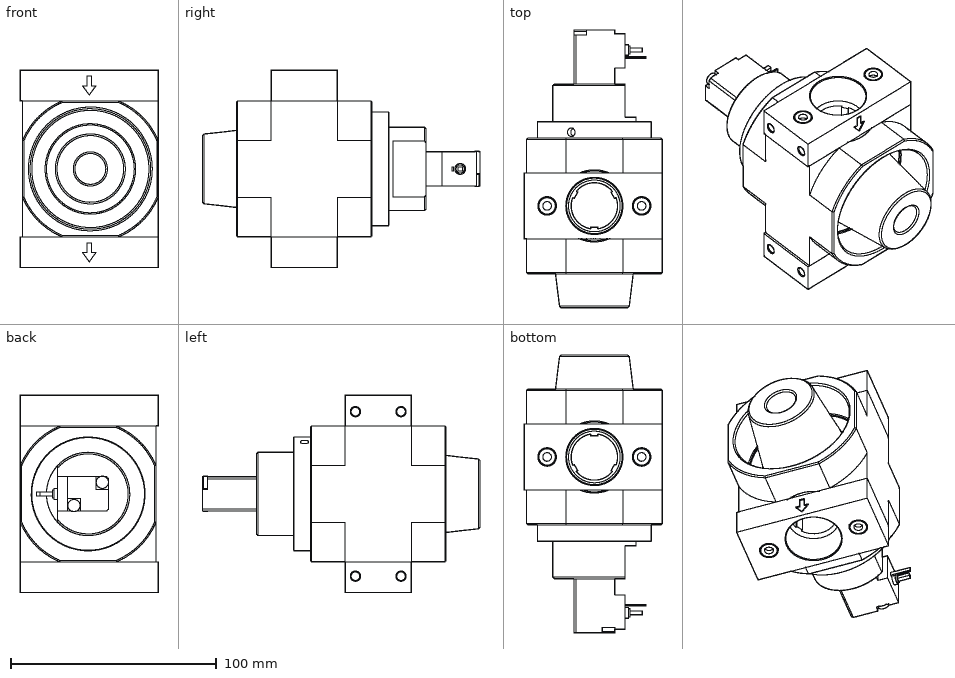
import cadquery as cq
import math


HOUSING_SIZE = 66.0
HOUSING_HALF = HOUSING_SIZE / 2
ROUND_END_DIAMETER = 71.5
END_CHAMFER = 0.7

PLATE_WIDTH = 32.1
PLATE_THICKNESS = 15.0
PLATE_OVERHANG = 1.1
PLATE_LENGTH = HOUSING_SIZE + PLATE_OVERHANG
PLATE_CENTER_X = -PLATE_OVERHANG / 2
PLATE_TOP = HOUSING_HALF + PLATE_THICKNESS

PORT_TOP_DIAMETER = 27.0
PORT_FOOT_DIAMETER = 25.1
PORT_CHAMFER = 0.4
BORE_DIAMETER = 22.4
RIB_ANGLES = (30, 150, 270)
RIB_WIDTH = 3.5
RIB_TIP_RADIUS = 10.3
SEAL_DIAMETER = 34.0
SEAL_DEPTH = 2.0
SEAL_CHAMFER = 0.5

SIDE_HOLE_DIAMETER = 4.2
SIDE_HOLE_MOUTH = 5.0
SIDE_HOLE_DEPTH = 8.1
SIDE_HOLE_Y = 11.1
SIDE_HOLE_Z = 40.0
DRILL_POINT_ANGLE = 118

ARROW_LENGTH = 9.2
ARROW_HEAD_LENGTH = 4.5
ARROW_HEAD_WIDTH = 6.5
ARROW_STEM_WIDTH = 2.3
ARROW_DEPTH = 0.5

SCREW_X = 23.0
SCREW_DIAMETER = 5.0
SCREW_HEAD_DIAMETER = 8.5
SCREW_HEAD_HEIGHT = 5.0
SCREW_HEAD_CHAMFER = 0.3
SCREW_SINK_DIAMETER = 9.0
SCREW_LENGTH_IN_HOUSING = 9.5
SOCKET_DIAMETER = 4.2
SOCKET_DEPTH = 2.4

RECESS_DIAMETER = 58.6
RECESS_FLOOR_DIAMETER = 57.0
RECESS_STEP = 0.8
RECESS_CHAMFER = 0.8
RECESS_DEPTH = 20.5
RECESS_FLOOR_Y = RECESS_DEPTH - HOUSING_HALF
CONE_FRONT_Y = -49.5
CONE_TIP_DIAMETER = 34.0
CONE_TIP_CHAMFER = 0.8
CONE_BASE_DIAMETER = 42.7
CONE_FLANGE_DIAMETER = 44.0
CONE_HOLE_DIAMETER = 15.0
CONE_HOLE_DEPTH = 20.2
CONE_HOLE_CHAMFER = 0.8

DISC_DIAMETER = 55.4
DISC_THICKNESS = 8.1
DISC_CHAMFER = 0.3
DISC_HOLE_DIAMETER = 4.0
DISC_HOLE_DEPTH = 4.0
DISC_HOLE_Y = 35.8
DISC_HOLE_ANGLE = 24
DISC_BACK_Y = HOUSING_HALF + DISC_THICKNESS

COIL_DIAMETER = 40.5
COIL_LENGTH = 18.1
COIL_CHAMFER = 0.8
COIL_RIM_THICKNESS = 2.0
COIL_FLAT_X = 15.0
COIL_BACK_Y = DISC_BACK_Y + COIL_LENGTH

BOX_BACK_Y = 85.5
BOX_WIDTH = 20.0
BOX_HEIGHT = 16.7
BOX_EDGE_CHAMFER = 1.1
SOCKET_FRONT_Y = 67.0
SOCKET_BACK_Y = 83.7
COVER_SCREW_DIAMETER = 6.0
COVER_SCREW_HEIGHT = 1.9
COVER_SCREW_SINK = 0.7
COVER_SCREW_RISE = 0.3
COVER_NOTCH_SIZE = 6.2

CONTACT_Y = 75.7
CONTACT_RINGS = ((5.3, 1.6), (4.0, 2.4))
CONTACT_PIN_WIDTH = 2.0
CONTACT_PIN_LENGTH = 8.4
BLADE_Y = 72.1
BLADE_THICKNESS = 0.8
BLADE_WIDTH = 2.0
BLADE_LENGTH = 10.0


def box_between(x0, x1, y0, y1, z0, z1):
    """Box given by its limits along each axis."""
    return cq.Workplane("XY").box(x1 - x0, y1 - y0, z1 - z0, centered=False).translate((x0, y0, z0))


def cylinder(diameter, length, start, direction):
    """Cylinder that grows from a start point along a direction."""
    return cq.Workplane(cq.Solid.makeCylinder(diameter / 2, length, cq.Vector(*start), cq.Vector(*direction)))


def cone(start_diameter, end_diameter, length, start, direction):
    """Truncated or pointed cone that grows from a start point along a direction."""
    return cq.Workplane(
        cq.Solid.makeCone(start_diameter / 2, end_diameter / 2, length, cq.Vector(*start), cq.Vector(*direction))
    )


def drilled_hole(diameter, depth, start, direction):
    """Blind hole with a conical drill point."""
    point_length = diameter / 2 / math.tan(math.radians(DRILL_POINT_ANGLE / 2))
    point_start = [s + depth * d for s, d in zip(start, direction)]
    point = cone(diameter, 0, point_length, point_start, direction)
    return cylinder(diameter, depth, start, direction).union(point)


def mirrored_pair(upper_shape):
    """The shape together with its mirror image below the XY plane."""
    return upper_shape.union(upper_shape.mirror("XY"))


def turned_on_y(profile):
    """Solid of revolution about Y from (radius, y) points."""
    return cq.Workplane("XY").polyline(profile).close().revolve(360, (0, 0, 0), (0, 1, 0))


def housing_blank():
    """Square cross block whose front and rear ends have rounded corners."""
    ends = (
        cq.Workplane("XY")
        .box(HOUSING_SIZE, HOUSING_SIZE, HOUSING_SIZE)
        .intersect(cylinder(ROUND_END_DIAMETER, HOUSING_SIZE, (0, -HOUSING_HALF, 0), (0, 1, 0)))
        .faces("<Y or >Y")
        .chamfer(END_CHAMFER)
    )
    return ends.union(cq.Workplane("XY").box(HOUSING_SIZE, PLATE_WIDTH, HOUSING_SIZE))


def port_bore():
    """Through bore along Z, interrupted by three ribs."""
    bore = cylinder(BORE_DIAMETER, HOUSING_SIZE, (0, 0, -HOUSING_HALF), (0, 0, 1))
    rib = box_between(RIB_TIP_RADIUS, BORE_DIAMETER, -RIB_WIDTH / 2, RIB_WIDTH / 2, -HOUSING_HALF, HOUSING_HALF)
    for angle in RIB_ANGLES:
        bore = bore.cut(rib.rotate((0, 0, 0), (0, 0, 1), angle))
    return bore


def seal_recess():
    """Shallow chamfered recess around the upper port mouth."""
    recess = cylinder(SEAL_DIAMETER, SEAL_DEPTH, (0, 0, HOUSING_HALF), (0, 0, -1))
    mouth = cone(
        SEAL_DIAMETER + 2 * SEAL_CHAMFER, SEAL_DIAMETER, SEAL_CHAMFER, (0, 0, HOUSING_HALF), (0, 0, -1)
    )
    return recess.union(mouth)


def front_recess():
    """Round recess in the front face, with a chamfered mouth and a small step at its floor."""
    mouth_radius = RECESS_DIAMETER / 2 + RECESS_CHAMFER
    return turned_on_y([
        (0, -HOUSING_HALF),
        (mouth_radius, -HOUSING_HALF),
        (RECESS_DIAMETER / 2, -HOUSING_HALF + RECESS_CHAMFER),
        (RECESS_DIAMETER / 2, RECESS_FLOOR_Y - RECESS_STEP),
        (RECESS_FLOOR_DIAMETER / 2, RECESS_FLOOR_Y - RECESS_STEP),
        (RECESS_FLOOR_DIAMETER / 2, RECESS_FLOOR_Y),
        (0, RECESS_FLOOR_Y),
    ])


def make_housing():
    housing = housing_blank().cut(port_bore()).cut(mirrored_pair(seal_recess())).cut(front_recess())
    for x in (-SCREW_X, SCREW_X):
        thread = cylinder(SCREW_DIAMETER, SCREW_LENGTH_IN_HOUSING, (x, 0, HOUSING_HALF), (0, 0, -1))
        housing = housing.cut(mirrored_pair(thread))
    return housing


def tapered_port():
    """Tapered port through the upper plate, with a chamfered mouth."""
    taper = cone(PORT_TOP_DIAMETER, PORT_FOOT_DIAMETER, PLATE_THICKNESS, (0, 0, PLATE_TOP), (0, 0, -1))
    mouth = cone(
        PORT_TOP_DIAMETER + 2 * PORT_CHAMFER, PORT_TOP_DIAMETER, PORT_CHAMFER, (0, 0, PLATE_TOP), (0, 0, -1)
    )
    return taper.union(mouth)


def side_hole(y):
    """Chamfered blind hole in the -X end of the upper plate."""
    start = (-HOUSING_HALF - PLATE_OVERHANG, y, SIDE_HOLE_Z)
    chamfer = (SIDE_HOLE_MOUTH - SIDE_HOLE_DIAMETER) / 2
    mouth = cone(SIDE_HOLE_MOUTH, SIDE_HOLE_DIAMETER, chamfer, start, (1, 0, 0))
    return drilled_hole(SIDE_HOLE_DIAMETER, SIDE_HOLE_DEPTH, start, (1, 0, 0)).union(mouth)


def make_upper_plate():
    plate = box_between(
        PLATE_CENTER_X - PLATE_LENGTH / 2, PLATE_CENTER_X + PLATE_LENGTH / 2,
        -PLATE_WIDTH / 2, PLATE_WIDTH / 2,
        HOUSING_HALF, PLATE_TOP,
    )
    plate = plate.cut(tapered_port())
    for x in (-SCREW_X, SCREW_X):
        plate = plate.cut(cylinder(SCREW_SINK_DIAMETER, SCREW_HEAD_HEIGHT, (x, 0, PLATE_TOP), (0, 0, -1)))
        plate = plate.cut(cylinder(SCREW_DIAMETER, PLATE_THICKNESS, (x, 0, PLATE_TOP), (0, 0, -1)))
    for y in (-SIDE_HOLE_Y, SIDE_HOLE_Y):
        plate = plate.cut(side_hole(y))
    return plate


def flow_arrow(center_z):
    """Arrow pointing to -Z, sunk into the front face of a plate."""
    tip_z = -ARROW_LENGTH / 2
    neck_z = tip_z + ARROW_HEAD_LENGTH
    head = ARROW_HEAD_WIDTH / 2
    stem = ARROW_STEM_WIDTH / 2
    outline = [
        (0, tip_z), (head, neck_z), (stem, neck_z), (stem, -tip_z),
        (-stem, -tip_z), (-stem, neck_z), (-head, neck_z),
    ]
    arrow = cq.Workplane("XZ").polyline(outline).close().extrude(-ARROW_DEPTH)
    return arrow.translate((PLATE_CENTER_X, -PLATE_WIDTH / 2, center_z))


def make_plates():
    """Upper plate and its mirror image below; both arrows point the same way."""
    upper = make_upper_plate()
    arrow_z = HOUSING_HALF + PLATE_THICKNESS / 2
    return [upper.cut(flow_arrow(arrow_z)), upper.mirror("XY").cut(flow_arrow(-arrow_z))]


def make_upper_screw(x):
    """Socket head screw through the upper plate into the housing."""
    shank_length = PLATE_THICKNESS - SCREW_HEAD_HEIGHT + SCREW_LENGTH_IN_HOUSING
    head_bottom = PLATE_TOP - SCREW_HEAD_HEIGHT
    head = cylinder(SCREW_HEAD_DIAMETER, SCREW_HEAD_HEIGHT, (x, 0, head_bottom), (0, 0, 1))
    head = head.faces(">Z").chamfer(SCREW_HEAD_CHAMFER)
    shank = cylinder(SCREW_DIAMETER, shank_length, (x, 0, head_bottom), (0, 0, -1))
    return head.union(shank).cut(drilled_hole(SOCKET_DIAMETER, SOCKET_DEPTH, (x, 0, PLATE_TOP), (0, 0, -1)))


def make_screws():
    screws = []
    for x in (-SCREW_X, SCREW_X):
        screw = make_upper_screw(x)
        screws += [screw, screw.mirror("XY")]
    return screws


def make_front_cone():
    """Tapered nose on the recess floor, with a blind hole in its tip."""
    tip_radius = CONE_TIP_DIAMETER / 2
    flange_radius = CONE_FLANGE_DIAMETER / 2
    flange_chamfer = flange_radius - CONE_BASE_DIAMETER / 2
    hole_radius = CONE_HOLE_DIAMETER / 2
    return turned_on_y([
        (0, RECESS_FLOOR_Y),
        (flange_radius, RECESS_FLOOR_Y),
        (CONE_BASE_DIAMETER / 2, RECESS_FLOOR_Y - flange_chamfer),
        (tip_radius, CONE_FRONT_Y + CONE_TIP_CHAMFER),
        (tip_radius - CONE_TIP_CHAMFER, CONE_FRONT_Y),
        (hole_radius + CONE_HOLE_CHAMFER, CONE_FRONT_Y),
        (hole_radius, CONE_FRONT_Y + CONE_HOLE_CHAMFER),
        (hole_radius, CONE_FRONT_Y + CONE_HOLE_DEPTH),
        (0, CONE_FRONT_Y + CONE_HOLE_DEPTH),
    ])


def make_rear_disc():
    """Disc on the rear face of the housing, with one radial set-screw hole."""
    disc = cylinder(DISC_DIAMETER, DISC_THICKNESS, (0, HOUSING_HALF, 0), (0, 1, 0))
    disc = disc.faces(">Y").chamfer(DISC_CHAMFER)
    hole = drilled_hole(DISC_HOLE_DIAMETER, DISC_HOLE_DEPTH, (0, DISC_HOLE_Y, DISC_DIAMETER / 2), (0, 0, -1))
    return disc.cut(hole.rotate((0, 0, 0), (0, 1, 0), -DISC_HOLE_ANGLE))


def coil():
    """Round coil with a flat on its +X side that stops short of the rim at the disc."""
    radius = COIL_DIAMETER / 2
    body = cylinder(COIL_DIAMETER, COIL_LENGTH, (0, DISC_BACK_Y, 0), (0, 1, 0)).faces(">Y").chamfer(COIL_CHAMFER)
    return body.cut(
        box_between(COIL_FLAT_X, radius, DISC_BACK_Y + COIL_RIM_THICKNESS, COIL_BACK_Y, -radius, radius)
    )


def pilot_box():
    """Box behind the coil, with chamfered -X edges and a plug socket on its +X side."""
    half_width = BOX_WIDTH / 2
    half_height = BOX_HEIGHT / 2
    box = box_between(-half_width, half_width, COIL_BACK_Y, BOX_BACK_Y, -half_height, half_height)
    box = box.edges("|Y and <X").chamfer(BOX_EDGE_CHAMFER)
    plug_socket = box_between(half_width, COIL_FLAT_X, SOCKET_FRONT_Y, SOCKET_BACK_Y, -half_height, half_height)
    return box.union(plug_socket)


def with_cover_screw(box, side):
    """Box with a corner notch at its back that a round cover screw head fills; side +1 is the -X, +Z corner."""
    half_width = BOX_WIDTH / 2
    half_height = BOX_HEIGHT / 2
    inner_x = half_width - COVER_NOTCH_SIZE
    inner_z = half_height - COVER_NOTCH_SIZE
    notch_y = BOX_BACK_Y - COVER_SCREW_SINK - COVER_SCREW_HEIGHT
    notch = box_between(-half_width, -inner_x, notch_y, BOX_BACK_Y, inner_z, half_height)
    center_x = -half_width + COVER_NOTCH_SIZE / 2
    center_z = half_height + COVER_SCREW_RISE - COVER_SCREW_DIAMETER / 2
    center = (center_x, notch_y, center_z)
    head = cylinder(COVER_SCREW_DIAMETER, COVER_SCREW_HEIGHT, center, (0, 1, 0))
    if side < 0:
        notch = notch.rotate((0, 0, 0), (0, 1, 0), 180)
        head = head.rotate((0, 0, 0), (0, 1, 0), 180)
    return box.cut(notch).union(head)


def plug_contacts():
    """Ringed contact pin and flat blade that stand out of the plug socket along +X."""
    half_pin = CONTACT_PIN_WIDTH / 2
    contacts = box_between(
        COIL_FLAT_X, COIL_FLAT_X + CONTACT_PIN_LENGTH,
        CONTACT_Y - half_pin, CONTACT_Y + half_pin, -half_pin, half_pin,
    )
    for diameter, height in CONTACT_RINGS:
        contacts = contacts.union(cylinder(diameter, height, (COIL_FLAT_X, CONTACT_Y, 0), (1, 0, 0)))
    blade = box_between(
        COIL_FLAT_X, COIL_FLAT_X + BLADE_LENGTH,
        BLADE_Y - BLADE_THICKNESS / 2, BLADE_Y + BLADE_THICKNESS / 2, -BLADE_WIDTH / 2, BLADE_WIDTH / 2,
    )
    return contacts.union(blade)


def make_solenoid():
    box = pilot_box()
    for side in (1, -1):
        box = with_cover_screw(box, side)
    return coil().union(box).union(plug_contacts())


housing = make_housing()
plates = make_plates()
screws = make_screws()
front_cone = make_front_cone()
rear_disc = make_rear_disc()
solenoid = make_solenoid()

bodies = [housing, *plates, *screws, front_cone, rear_disc, solenoid]
result = cq.Compound.makeCompound([body.val() for body in bodies])